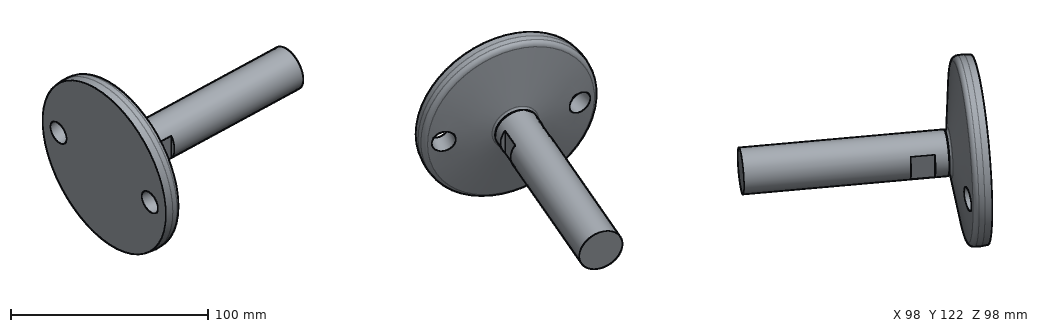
import cadquery as cq
import math

total_length = 122.0
rod_diameter = 24.0
disc_diameter = 98.0

parting_height = 4.0
base_diameter = 97.0
upper_draft_angle = 4.0
rim_round_start = 7.0
rim_round_radius = 3.0
cone_angle = 9.5

neck_round_radius = 2.0
neck_round_start_diameter = 26.0
neck_round_end = 16.6
rod_start = 17.0

flat_start = 24.0
flat_length = 12.5
across_flats = 19.0

hole_diameter = 12.5
hole_offset = 35.9
hole_cutter_length = 60.0


def round_point(center, radius, angle):
    """Point on a circle, the angle in degrees measured from the radial direction."""
    turn = math.radians(angle)
    return (center[0] + radius * math.cos(turn), center[1] + radius * math.sin(turn))


def make_body():
    """Foot and rod turned about the Y axis."""
    rod_radius = rod_diameter / 2
    disc_radius = disc_diameter / 2
    rim_start_radius = disc_radius - (rim_round_start - parting_height) * math.tan(
        math.radians(upper_draft_angle)
    )

    rim_start = (rim_start_radius, rim_round_start)
    rim_center = round_point(rim_start, rim_round_radius, 180 + upper_draft_angle)
    cone_normal = 90 - cone_angle
    rim_middle = round_point(rim_center, rim_round_radius, (upper_draft_angle + cone_normal) / 2)
    rim_end = round_point(rim_center, rim_round_radius, cone_normal)

    neck_start_radius = neck_round_start_diameter / 2
    cone_rise = (rim_end[0] - neck_start_radius) * math.tan(math.radians(cone_angle))
    neck_start = (neck_start_radius, rim_end[1] + cone_rise)
    neck_center = round_point(neck_start, neck_round_radius, cone_normal)
    neck_end_angle = 180 + math.degrees(math.asin((neck_center[1] - neck_round_end) / neck_round_radius))
    neck_middle_angle = (180 + cone_normal + neck_end_angle) / 2
    neck_middle = round_point(neck_center, neck_round_radius, neck_middle_angle)
    neck_end = round_point(neck_center, neck_round_radius, neck_end_angle)

    return (
        cq.Workplane("XY")
        .moveTo(0, 0)
        .lineTo(base_diameter / 2, 0)
        .lineTo(disc_radius, parting_height)
        .lineTo(*rim_start)
        .threePointArc(rim_middle, rim_end)
        .lineTo(*neck_start)
        .threePointArc(neck_middle, neck_end)
        .lineTo(neck_end[0], rod_start)
        .lineTo(rod_radius, rod_start)
        .lineTo(rod_radius, total_length)
        .lineTo(0, total_length)
        .close()
        .revolve(360, (0, 0, 0), (0, 1, 0))
    )


def make_flat_cutter(side):
    """Block that cuts one wrench flat; side is -1 or +1 along X."""
    block_center = (side * (across_flats + rod_diameter) / 2, flat_start + flat_length / 2, 0)
    return cq.Workplane("XY").box(rod_diameter, flat_length, rod_diameter).translate(block_center)


def make_hole_cutter(side):
    """Cylinder leaning outwards on one side; side is -1 or +1 along X."""
    lean = math.radians(cone_angle)
    direction = cq.Vector(side * math.sin(lean), math.cos(lean), 0)
    entry = cq.Vector(side * hole_offset, 0, 0)
    start = entry - direction * (hole_cutter_length / 2)
    return cq.Solid.makeCylinder(hole_diameter / 2, hole_cutter_length, start, direction)


result = make_body()
for side in (-1, 1):
    result = result.cut(make_flat_cutter(side))
    result = result.cut(make_hole_cutter(side))